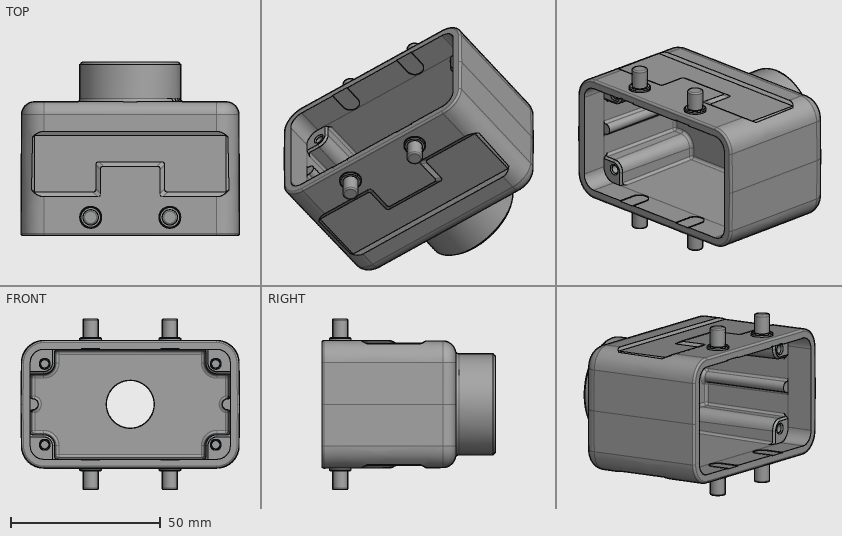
import cadquery as cq
import math


WIDTH = 73.0
SIDE_RIDGE = 0.2
HEIGHT = 42.7
SHELL_END = 44.75
CORNER_RADIUS = 7.5
DRAFT_ANGLE = 0.25
REAR_FILLET = 4.4
MOUTH_FILLET = 0.7

TOTAL_LENGTH = 58.0
ENTRY_RADIUS = 16.9
ENTRY_CHAMFER = 0.95
ENTRY_ROOT_FILLET = 1.3
ENTRY_ROOT_SINK = 0.3
ENTRY_HOLE_RADIUS = 7.95

WALL = 3.0
LEDGE_DEPTH = 9.2
CAVITY_END = SHELL_END - WALL
CAVITY_INSET = 0.65
FLOOR_FILLET = 1.0
WALL_CORNER_FILLET = 0.9

COLUMN_SIZE = 8.2
COLUMN_RADIUS = 3.65
COLUMN_GROWTH = 0.45
COLUMN_BEVEL = 0.7
SCREW_X = 28.55
SCREW_Z = 13.5
SCREW_HOLE_RADIUS = 1.4
SCREW_HOLE_DEPTH = 10.95
SCREW_CHAMFER = 0.45

RIB_RADIUS = 1.8
RIB_OFFSET = 0.9

PIN_X = 13.2
PIN_Y = 6.1
PIN_RADIUS = 2.55
PIN_TIP = 57.0 / 2
PIN_FILLET = 0.5
COLLAR_RADIUS = 3.65
COLLAR_TOP = 22.3
COLLAR_CHAMFER = 0.4
PIN_RELIEF_RADIUS = 3.0
PIN_RELIEF_DEPTH = 0.2

RECESS_FLOOR_Z = 20.45
RECESS_HALF_WIDTH = 31.9
RECESS_HALF_LENGTH = 34.25
RECESS_END_DROP = 0.9
RECESS_FRONT = 14.6
RECESS_REAR = 33.4
TONGUE_HALF_WIDTH = 11.45
TONGUE_REAR = 24.7
RECESS_RISE = 0.95
RECESS_FLARE = 1.75
RECESS_CORNER_RADIUS = 2.2

CAVITY_WIDTH = WIDTH - 2 * (SIDE_RIDGE / 2 + WALL)
CAVITY_HEIGHT = HEIGHT - 2 * WALL
DEPTH_BELOW_LEDGE = CAVITY_END - LEDGE_DEPTH


def plane_at(y):
    """Sketch plane at a given y, with its X axis along -X, Z up and its normal along +Y."""
    return cq.Workplane(cq.Plane((0, y, 0), xDir=(-1, 0, 0), normal=(0, 1, 0)))


def rounded_rect(width, height, radius):
    return cq.Sketch().rect(width, height).vertices().fillet(radius)


def draft(inset, length):
    return math.degrees(math.atan2(inset, length))


def make_shell():
    side = WIDTH / 2 - SIDE_RIDGE
    top = HEIGHT / 2
    outline = cq.Sketch().polygon([
        (side, top), (-side, top), (-WIDTH / 2, 0),
        (-side, -top), (side, -top), (WIDTH / 2, 0), (side, top),
    ])
    outline = outline.vertices(">Y or <Y").fillet(CORNER_RADIUS)
    shell = plane_at(0).placeSketch(outline).extrude(SHELL_END, taper=DRAFT_ANGLE)
    shell = shell.faces("<Y").edges().fillet(MOUTH_FILLET)
    return shell.faces(">Y").edges().fillet(REAR_FILLET)


def make_entry():
    """Round spigot with a flared root and a chamfered end, revolved about Y."""
    root = SHELL_END - ENTRY_ROOT_SINK
    flare = ENTRY_ROOT_FILLET
    arc_offset = flare * (1 - math.sqrt(0.5))
    profile = (
        cq.Workplane("XY")
        .moveTo(0, CAVITY_END)
        .lineTo(ENTRY_RADIUS - flare, CAVITY_END)
        .lineTo(ENTRY_RADIUS + flare, root)
        .threePointArc((ENTRY_RADIUS + arc_offset, root + arc_offset), (ENTRY_RADIUS, root + flare))
        .lineTo(ENTRY_RADIUS, TOTAL_LENGTH - ENTRY_CHAMFER)
        .lineTo(ENTRY_RADIUS - ENTRY_CHAMFER, TOTAL_LENGTH)
        .lineTo(0, TOTAL_LENGTH)
        .close()
    )
    return profile.revolve(360, (0, 0, 0), (0, 1, 0))


def make_column(x_side, z_side):
    """Corner column, drafted so that it thickens towards the cavity floor."""
    x_centre = -x_side * CAVITY_WIDTH / 2
    z_centre = z_side * CAVITY_HEIGHT / 2
    outline = rounded_rect(2 * COLUMN_SIZE, 2 * COLUMN_SIZE, COLUMN_RADIUS)
    column = (
        plane_at(LEDGE_DEPTH)
        .center(x_centre, z_centre)
        .placeSketch(outline)
        .extrude(DEPTH_BELOW_LEDGE, taper=-draft(COLUMN_GROWTH, DEPTH_BELOW_LEDGE))
    )
    return column.faces("<Y").chamfer(COLUMN_BEVEL)


def make_rib(x_side):
    """Round rib partly buried in the side wall."""
    x_centre = x_side * (CAVITY_WIDTH / 2 - RIB_OFFSET)
    return plane_at(LEDGE_DEPTH).center(-x_centre, 0).circle(RIB_RADIUS).extrude(DEPTH_BELOW_LEDGE)


def round_wall_corners(cavity):
    """Round the long corners where the columns and ribs meet the cavity walls."""
    corners = []
    for edge in cavity.edges().vals():
        middle = edge.Center()
        near_wall = abs(middle.x) > CAVITY_WIDTH / 2 - WALL or abs(middle.z) > CAVITY_HEIGHT / 2 - WALL
        runs_inwards = abs(edge.tangentAt(0).y) > 0.9
        if near_wall and runs_inwards and edge.Length() > DEPTH_BELOW_LEDGE / 2:
            corners.append(edge)
    return cavity.newObject(corners).fillet(WALL_CORNER_FILLET)


def make_cavity():
    opening = rounded_rect(CAVITY_WIDTH, CAVITY_HEIGHT, CORNER_RADIUS - WALL)
    mouth = plane_at(0).placeSketch(opening).extrude(LEDGE_DEPTH)
    inner = (
        plane_at(LEDGE_DEPTH)
        .placeSketch(opening)
        .extrude(DEPTH_BELOW_LEDGE, taper=draft(CAVITY_INSET, DEPTH_BELOW_LEDGE))
    )
    for x_side in (-1, 1):
        inner = inner.cut(make_rib(x_side))
        for z_side in (-1, 1):
            inner = inner.cut(make_column(x_side, z_side))
    inner = round_wall_corners(inner)
    inner = inner.faces(">Y").edges().fillet(FLOOR_FILLET)
    return mouth.union(inner)


def make_screw_holes():
    centres = [(x, z) for x in (-SCREW_X, SCREW_X) for z in (-SCREW_Z, SCREW_Z)]
    sink_radius = SCREW_HOLE_RADIUS + SCREW_CHAMFER
    holes = plane_at(LEDGE_DEPTH).pushPoints(centres).circle(SCREW_HOLE_RADIUS).extrude(SCREW_HOLE_DEPTH)
    sinks = plane_at(LEDGE_DEPTH).pushPoints(centres).circle(sink_radius).extrude(SCREW_CHAMFER, taper=45)
    return holes.union(sinks)


def make_pin(x):
    """Locking pin with a collar, rooted in the middle of the wall."""
    base_z = HEIGHT / 2 - WALL / 2
    base = cq.Workplane("XY", origin=(x, PIN_Y, base_z))
    collar = base.circle(COLLAR_RADIUS).extrude(COLLAR_TOP - base_z).faces(">Z").chamfer(COLLAR_CHAMFER)
    pin = base.circle(PIN_RADIUS).extrude(PIN_TIP - base_z).faces(">Z").fillet(PIN_FILLET)
    return collar.union(pin)


def make_pin_relief(x):
    """Shallow slot in the inner wall, round behind the pin and open at the mouth."""
    wall_z = CAVITY_HEIGHT / 2
    slot = cq.Workplane("XY", origin=(x, 0, wall_z - PIN_RELIEF_DEPTH))
    round_end = slot.center(0, PIN_Y).circle(PIN_RELIEF_RADIUS).extrude(2 * PIN_RELIEF_DEPTH)
    run = slot.center(0, PIN_Y / 2).rect(2 * PIN_RELIEF_RADIUS, PIN_Y).extrude(2 * PIN_RELIEF_DEPTH)
    return round_end.union(run)


def make_tongue():
    """Sloped block left standing at the middle of the recess front."""
    length = TONGUE_REAR + RECESS_FLARE
    return (
        cq.Workplane("XY", origin=(0, TONGUE_REAR - length / 2, RECESS_FLOOR_Z))
        .rect(2 * TONGUE_HALF_WIDTH, length)
        .workplane(offset=RECESS_RISE)
        .rect(2 * (TONGUE_HALF_WIDTH - RECESS_FLARE), length - 2 * RECESS_FLARE)
        .loft(combine=True)
    )


def make_recess_pocket():
    """Trough with sloped front and rear walls; its floor is bevelled down at both ends."""
    top = RECESS_FLOOR_Z + RECESS_RISE
    bottom = RECESS_FLOOR_Z - RECESS_END_DROP
    inward = RECESS_FLARE * RECESS_END_DROP / RECESS_RISE
    trough = (
        cq.Workplane("YZ", origin=(-RECESS_HALF_LENGTH, 0, 0))
        .polyline([
            (RECESS_FRONT + inward, bottom),
            (RECESS_REAR - inward, bottom),
            (RECESS_REAR + RECESS_FLARE, top),
            (RECESS_FRONT - RECESS_FLARE, top),
        ])
        .close()
        .extrude(2 * RECESS_HALF_LENGTH)
    )
    bed_length = RECESS_REAR - RECESS_FRONT + 2 * RECESS_FLARE
    bed = (
        cq.Workplane("XZ", origin=(0, RECESS_REAR + RECESS_FLARE, 0))
        .polyline([
            (-RECESS_HALF_LENGTH, top),
            (RECESS_HALF_LENGTH, top),
            (RECESS_HALF_LENGTH, bottom),
            (RECESS_HALF_WIDTH, RECESS_FLOOR_Z),
            (-RECESS_HALF_WIDTH, RECESS_FLOOR_Z),
            (-RECESS_HALF_LENGTH, bottom),
        ])
        .close()
        .extrude(bed_length)
    )
    return trough.intersect(bed)


def make_recess():
    """U-shaped lever recess with rounded corners around the tongue."""
    recess = make_recess_pocket().cut(make_tongue())
    margin = 0.1
    corner_zone = cq.selectors.BoxSelector(
        (-TONGUE_HALF_WIDTH - 0.7, RECESS_FRONT - RECESS_FLARE, RECESS_FLOOR_Z + margin),
        (TONGUE_HALF_WIDTH + 0.7, TONGUE_REAR + 0.7, RECESS_FLOOR_Z + RECESS_RISE - margin),
    )
    mitres = [
        edge for edge in recess.edges(corner_zone).vals()
        if abs(edge.tangentAt(0).x) > margin and abs(edge.tangentAt(0).z) > margin
    ]
    return recess.newObject(mitres).fillet(RECESS_CORNER_RADIUS)


def on_both_faces(feature):
    """The feature on the top face together with its mirror image on the bottom face."""
    return feature.union(feature.mirror("XY"))


hood = make_shell().union(make_entry())
hood = hood.cut(make_cavity()).cut(make_screw_holes())
hood = hood.cut(plane_at(0).circle(ENTRY_HOLE_RADIUS).extrude(TOTAL_LENGTH))
hood = hood.cut(on_both_faces(make_recess()))
for pin_x in (-PIN_X, PIN_X):
    hood = hood.union(on_both_faces(make_pin(pin_x)))
    hood = hood.cut(on_both_faces(make_pin_relief(pin_x)))

result = hood